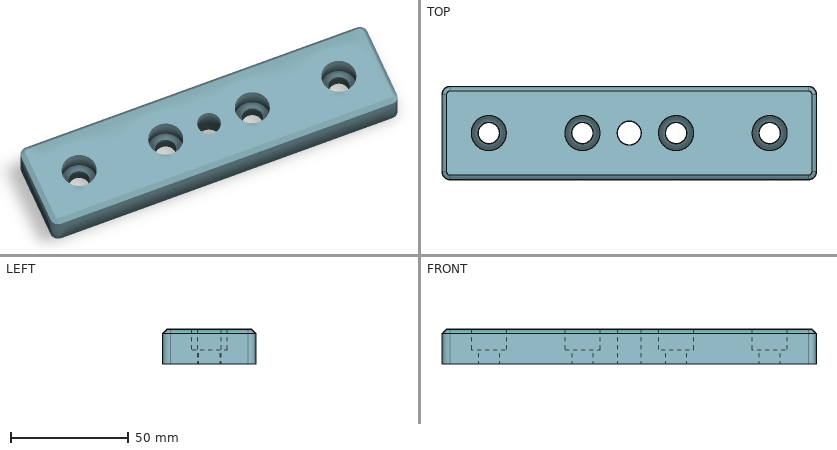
import cadquery as cq

length = 160.0
width = 40.0
height = 15.0
corner_radius = 3.5
top_chamfer = 2.0

bolt_diameter = 9.0
counterbore_diameter = 15.0
counterbore_depth = 9.0
hole_pitch = 40.0
inner_hole_x = hole_pitch / 2
outer_hole_x = inner_hole_x + hole_pitch
mounting_hole_xs = [-outer_hole_x, -inner_hole_x, inner_hole_x, outer_hole_x]

center_hole_diameter = 10.11


def make_plate():
    """Flat bar with rounded vertical corners and a chamfered top rim."""
    plate = cq.Workplane("XY").box(length, width, height, centered=(True, True, False))
    plate = plate.edges("|Z").fillet(corner_radius)
    return plate.faces(">Z").edges().chamfer(top_chamfer)


def drill_mounting_holes(plate):
    """Row of counterbored holes entered from the top face."""
    top = plate.faces(">Z").workplane(origin=(0, 0, height))
    return top.pushPoints([(x, 0) for x in mounting_hole_xs]).cboreHole(
        bolt_diameter, counterbore_diameter, counterbore_depth
    )


def drill_center_hole(plate):
    """Through hole at the middle of the plate."""
    return plate.faces(">Z").workplane(origin=(0, 0, height)).hole(center_hole_diameter)


result = drill_center_hole(drill_mounting_holes(make_plate()))